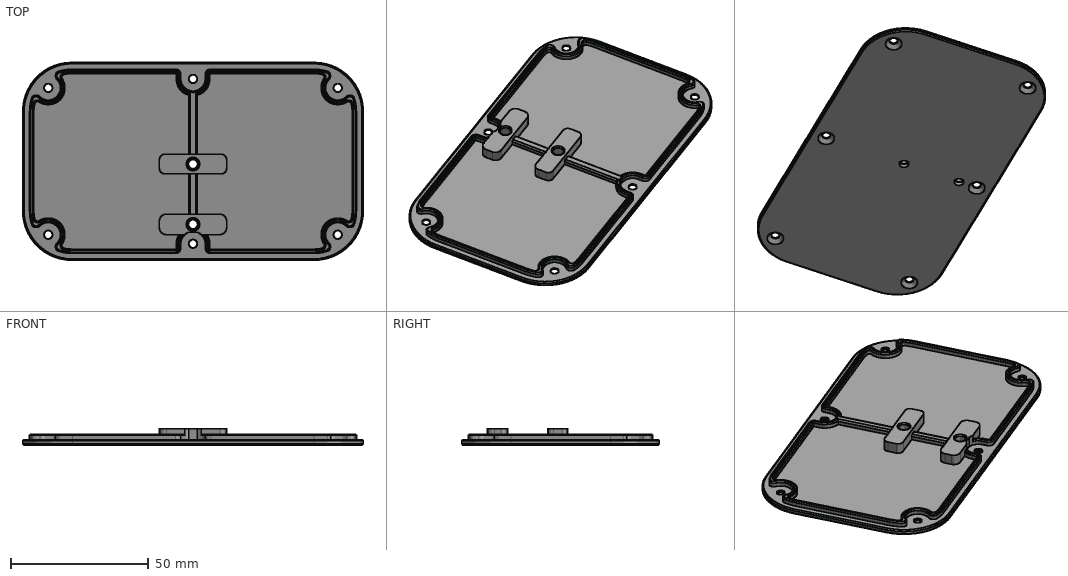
import cadquery as cq
import math

plate_length = 124.0
plate_width = 72.0
plate_thickness = 2.0
plate_corner_radius = 18.0
plate_chamfer = 0.5

rim_inset = 2.5
rim_thickness = 1.6
rim_height = 2.0
rim_chamfer = 0.5

screw_diameter = 3.0
screw_countersink = 1.5
corner_screw_inset = 9.3
middle_screw_y = 30.0
recess_radius = 4.5
corner_mouth_fillet = 1.7
corner_cavity_fillet = 1.0
middle_mouth_fillet = 2.0

rib_width = 3.2
rib_chamfer = 0.6

pads = [(-1.0, 7.2, 2.0), (-23.0, 7.5, 2.5)]
pad_length = 24.4
pad_top = 6.0
pad_hole_diameter = 3.8
pad_hole_chamfer = 0.5
plate_bore_diameter = 3.3

tolerance = 0.01

corner_screw_x = plate_length / 2 - corner_screw_inset
corner_screw_y = plate_width / 2 - corner_screw_inset
corner_screws = [(sx * corner_screw_x, sy * corner_screw_y) for sx in (-1, 1) for sy in (-1, 1)]
middle_screws = [(0, middle_screw_y), (0, -middle_screw_y)]


def recess(x, y, angle, radius, height):
    """Slot with a round end on the screw at (x, y), open outward along angle (degrees)."""
    reach = plate_corner_radius
    heading = math.radians(angle)
    channel = (
        cq.Workplane("XY")
        .center(x + reach / 2 * math.cos(heading), y + reach / 2 * math.sin(heading))
        .transformed(rotate=(0, 0, angle))
        .rect(reach, 2 * radius)
        .extrude(height)
    )
    return channel.union(cq.Workplane("XY").center(x, y).circle(radius).extrude(height))


def make_plate():
    plate = (
        cq.Workplane("XY")
        .rect(plate_length, plate_width)
        .extrude(plate_thickness)
        .edges("|Z")
        .fillet(plate_corner_radius)
    )
    return plate.faces("<Z or >Z").edges().chamfer(plate_chamfer)


def is_corner_mouth(edge):
    """True for edges farther out along the diagonal than a corner screw."""
    spot = edge.Center()
    return abs(spot.x) + abs(spot.y) > corner_screw_x + corner_screw_y + tolerance


def is_middle_mouth(edge):
    """True for edges near the middle of a long side and farther out than its screw."""
    spot = edge.Center()
    return abs(spot.x) < plate_corner_radius and abs(spot.y) > middle_screw_y + tolerance


def rim_block(depth, corner_fillet):
    """Block with the rim outline, shrunk by depth; the corner recess mouths get corner_fillet."""
    inset = rim_inset + depth
    radius = recess_radius + depth
    block = (
        cq.Workplane("XY")
        .rect(plate_length - 2 * inset, plate_width - 2 * inset)
        .extrude(rim_height)
        .edges("|Z")
        .fillet(plate_corner_radius - inset)
    )
    for x, y in corner_screws:
        diagonal = math.degrees(math.atan2(math.copysign(1, y), math.copysign(1, x)))
        block = block.cut(recess(x, y, diagonal, radius, rim_height))
    for x, y in middle_screws:
        block = block.cut(recess(x, y, math.copysign(90, y), radius, rim_height))

    return block.edges("|Z").filter(is_corner_mouth).fillet(corner_fillet)


def make_rim():
    outside = rim_block(0, corner_mouth_fillet)
    outside = outside.edges("|Z").filter(is_middle_mouth).fillet(middle_mouth_fillet)
    rim = outside.cut(rim_block(rim_thickness, corner_cavity_fillet))
    rim = rim.faces(">Z").edges().chamfer(rim_chamfer)
    return rim.translate((0, 0, plate_thickness))


def make_rib():
    """Rib that joins the rim bends at the two middle screws."""
    length = 2 * (middle_screw_y - recess_radius - rim_thickness / 2)
    rib = cq.Workplane("XY").workplane(offset=plate_thickness).rect(rib_width, length).extrude(rim_height)
    return rib.edges("|Y and >Z").chamfer(rib_chamfer)


def make_pad(y, width, corner_radius):
    return (
        cq.Workplane("XY", origin=(0, y, plate_thickness))
        .rect(pad_length, width)
        .extrude(pad_top - plate_thickness)
        .edges("|Z")
        .fillet(corner_radius)
    )


def pad_clearance():
    """Continues the front middle recess up through the pad, with a flat where the rib ends."""
    opening = recess(0, -middle_screw_y, -90, recess_radius, pad_top)
    flat_y = -middle_screw_y + math.sqrt(recess_radius**2 - (rib_width / 2) ** 2)
    rib_end = (
        cq.Workplane("XY", origin=(0, flat_y, 0))
        .rect(rib_width, recess_radius, centered=(True, False))
        .extrude(pad_top)
    )
    return opening.cut(rib_end).translate((0, 0, plate_thickness))


def screw_hole(x, y):
    """Through hole countersunk from the underside of the plate."""
    radius = screw_diameter / 2
    hole = cq.Workplane("XY", origin=(x, y, 0)).circle(radius).extrude(plate_thickness)
    sink = (
        cq.Workplane("XY", origin=(x, y, 0))
        .circle(radius + screw_countersink)
        .workplane(offset=screw_countersink)
        .circle(radius)
        .loft()
    )
    return hole.union(sink)


def pad_hole(y):
    """Hole with a chamfered mouth on the pad top, stepped down to a smaller bore in the plate."""
    bore = cq.Workplane("XY", origin=(0, y, 0)).circle(plate_bore_diameter / 2).extrude(plate_thickness)
    hole = (
        cq.Workplane("XY", origin=(0, y, plate_thickness))
        .circle(pad_hole_diameter / 2)
        .extrude(pad_top - plate_thickness)
    )
    mouth = (
        cq.Workplane("XY", origin=(0, y, pad_top))
        .circle(pad_hole_diameter / 2 + pad_hole_chamfer)
        .workplane(offset=-pad_hole_chamfer)
        .circle(pad_hole_diameter / 2)
        .loft()
    )
    return bore.union(hole).union(mouth)


result = make_plate().union(make_rim()).union(make_rib())
for pad in pads:
    result = result.union(make_pad(*pad))

result = result.cut(pad_clearance())

for pad_y, _, _ in pads:
    result = result.cut(pad_hole(pad_y))

for x, y in corner_screws + middle_screws:
    result = result.cut(screw_hole(x, y))